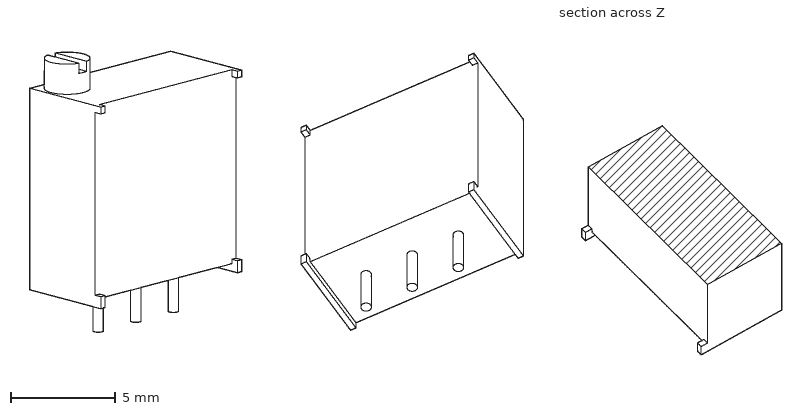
import cadquery as cq


housing_depth = 4.83
housing_width = 9.53
housing_height = 10.02
standoff = 0.38
rail_width = 0.30
top_peg_height = 0.34
bottom_peg_height = 0.60

screw_diameter = 2.20
screw_height = 1.50
screw_inset = 1.27
slot_width = 0.51
slot_depth = 0.50

pin_diameter = 0.51
pin_length = 2.00
pin_pitch = 2.54
pin_x = housing_depth / 2

core_depth = housing_depth - standoff


def y_span_box(depth, width, height, x, y, z):
    """Box starting at x and z, centred on y."""
    return cq.Workplane("XY").box(depth, width, height, centered=(False, True, False)).translate((x, y, z))


def make_housing():
    """Core block with a bottom rail and two corner pegs at each end."""
    housing = y_span_box(core_depth, housing_width, housing_height - standoff, 0, 0, standoff)
    for side in (-1, 1):
        y = side * (housing_width - rail_width) / 2
        rail = y_span_box(core_depth, rail_width, standoff, 0, y, 0)
        bottom_peg = y_span_box(standoff, rail_width, bottom_peg_height, core_depth, y, 0)
        top_peg_z = housing_height - top_peg_height
        top_peg = y_span_box(standoff, rail_width, top_peg_height, core_depth, y, top_peg_z)
        housing = housing.union(rail).union(bottom_peg).union(top_peg)
    return housing


def make_screw():
    """Round screw head with a driver slot along X."""
    head = cq.Workplane("XY").circle(screw_diameter / 2).extrude(screw_height)
    slot_x = -screw_diameter / 2
    slot = y_span_box(screw_diameter, slot_width, slot_depth, slot_x, 0, screw_height - slot_depth)
    return head.cut(slot).translate((screw_inset, screw_inset - housing_width / 2, housing_height))


def make_pins():
    """Row of three round pins along Y, reaching up to the underside of the core."""
    pin_centers = [(pin_x, index * pin_pitch) for index in (-1, 0, 1)]
    pins = cq.Workplane("XY").workplane(offset=-pin_length).pushPoints(pin_centers)
    return pins.circle(pin_diameter / 2).extrude(pin_length + standoff)


result = make_housing().union(make_screw()).union(make_pins()).clean()